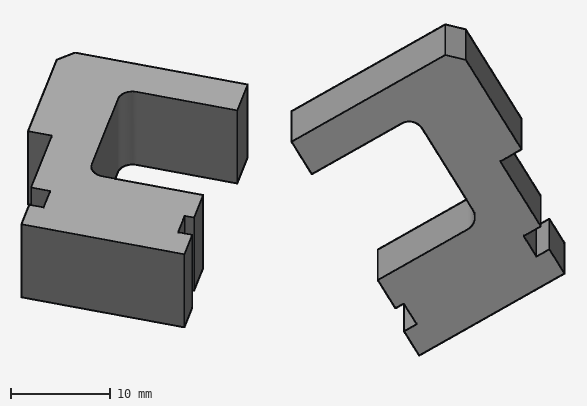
import cadquery as cq

length = 26.0
thickness = 10.0
right_end = 20.0

foot_left = 3.0
foot_height = 3.0
groove_top = 5.5
neck_left = 4.5
neck_right = 18.5

body_left = 2.5
step_y = 13.5
arm_end = 19.5
corner_chamfer = 1.5

jaw_floor_x = 7.5
jaw_bottom = 9.0
jaw_top = 22.0
jaw_radius = 1.5


def make_body():
    """Stepped outer outline with the jaw still filled in."""
    outline = [
        (foot_left, 0),
        (right_end, 0),
        (right_end, foot_height),
        (neck_right, foot_height),
        (neck_right, groove_top),
        (arm_end, groove_top),
        (arm_end, length),
        (corner_chamfer, length),
        (0, length - corner_chamfer),
        (0, step_y),
        (body_left, step_y),
        (body_left, groove_top),
        (neck_left, groove_top),
        (neck_left, foot_height),
        (foot_left, foot_height),
    ]
    return cq.Workplane("XY").polyline(outline).close().extrude(thickness)


def make_jaw():
    """Opening through the full thickness, rounded at its inner corners."""
    return (
        cq.Workplane("XY")
        .moveTo(jaw_floor_x, jaw_bottom)
        .lineTo(right_end, jaw_bottom)
        .lineTo(right_end, jaw_top)
        .lineTo(jaw_floor_x, jaw_top)
        .close()
        .extrude(thickness)
        .edges("|Z and <X")
        .fillet(jaw_radius)
    )


result = make_body().cut(make_jaw())